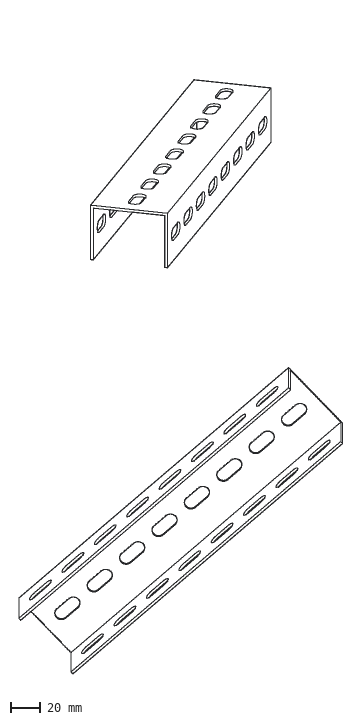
import cadquery as cq

length = 250.0
width = 55.0
height = 40.0
wall = 2.0

slot_count = 8
slot_pitch = 30.0
slot_length = 20.0
slot_width = 9.0
flange_slot_height = 19.5


def channel():
    """Box with its inside removed, leaving a top web and two side flanges."""
    outer = cq.Workplane("XY").box(width, length, height)
    cavity = cq.Workplane("XY").box(width - 2 * wall, length, height).translate((0, 0, -wall))
    return outer.cut(cavity)


def slot_row(plane, depth):
    """Row of slot cutters along Y, reaching equally to both sides of a plane whose local x is Y."""
    return (
        cq.Workplane(plane)
        .rarray(slot_pitch, 2.5, slot_count, 1)
        .slot2D(slot_length, slot_width)
        .extrude(depth / 2, both=True)
    )


web_slots = slot_row("YX", height)
flange_slots = slot_row("YZ", width).translate((0, 0, flange_slot_height - height / 2))

result = channel().cut(web_slots).cut(flange_slots)